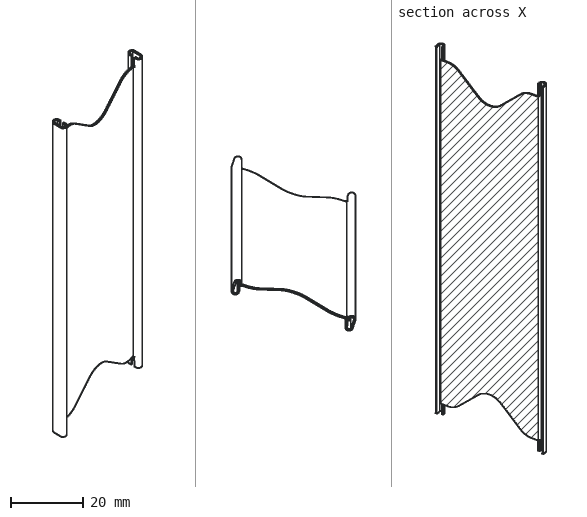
import cadquery as cq
import math

height = 127.0
overall_width = 35.3

tube_width = 4.5
tube_depth = 2.2
tube_wall = 0.5
side_bulge = 0.9
slot_width = 1.1

web_thickness = 0.5
web_setback = 4.0

notch_bottom = 13.5
notch_radius = 5.1
notch_half_angle = math.radians(45)

tube_center_y = (overall_width - tube_depth) / 2
web_half_width = overall_width / 2 - tube_depth + tube_wall


def rounded_bar(width, depth, bulge):
    """Full-height bar with flat faces along Y and arc sides that bulge out along X."""
    flat_x = width / 2 - bulge
    profile = (
        cq.Workplane("XY")
        .moveTo(-flat_x, -depth / 2)
        .lineTo(flat_x, -depth / 2)
        .threePointArc((width / 2, 0), (flat_x, depth / 2))
        .lineTo(-flat_x, depth / 2)
        .threePointArc((-width / 2, 0), (-flat_x, -depth / 2))
        .close()
    )
    return profile.extrude(height)


def edge_tube(center_y):
    outer = rounded_bar(tube_width, tube_depth, side_bulge)
    bore = rounded_bar(
        tube_width - 2 * tube_wall,
        tube_depth - 2 * tube_wall,
        side_bulge - tube_wall,
    )
    return outer.cut(bore).translate((0, center_y, -height / 2))


def web_slot():
    return cq.Workplane("XY").box(slot_width, 2 * web_half_width, height)


def web_plate():
    """Thin plate whose two side edges thicken into beads that fill the tube slots."""
    web_height = height - 2 * web_setback
    bead_y = web_half_width - tube_wall / 2
    plate = cq.Workplane("XY").box(web_thickness, 2 * web_half_width, web_height)
    beads = cq.Workplane("XY").pushPoints([(0, bead_y), (0, -bead_y)]).box(slot_width, tube_wall, web_height)
    return plate.union(beads)


def end_notch():
    """Cutter for the top end; tangent arcs join the sloped sides to the flat and the valley."""
    top = height / 2 - web_setback
    valley = height / 2 - notch_bottom
    arc_run = notch_radius * math.sin(notch_half_angle)
    arc_drop = notch_radius * (1 - math.cos(notch_half_angle))
    mid_run = notch_radius * math.sin(notch_half_angle / 2)
    mid_drop = notch_radius * (1 - math.cos(notch_half_angle / 2))
    slope_run = (top - valley - 2 * arc_drop) / math.tan(notch_half_angle)
    crest_y = 2 * arc_run + slope_run
    profile = (
        cq.Workplane("YZ")
        .moveTo(-crest_y, top)
        .threePointArc((-crest_y + mid_run, top - mid_drop), (-crest_y + arc_run, top - arc_drop))
        .lineTo(-arc_run, valley + arc_drop)
        .threePointArc((0, valley), (arc_run, valley + arc_drop))
        .lineTo(crest_y - arc_run, top - arc_drop)
        .threePointArc((crest_y - mid_run, top - mid_drop), (crest_y, top))
        .close()
    )
    return profile.extrude(web_thickness, both=True)


top_notch = end_notch()
web = web_plate().cut(top_notch).cut(top_notch.mirror("XY"))
tubes = edge_tube(tube_center_y).union(edge_tube(-tube_center_y)).cut(web_slot())
result = tubes.union(web)